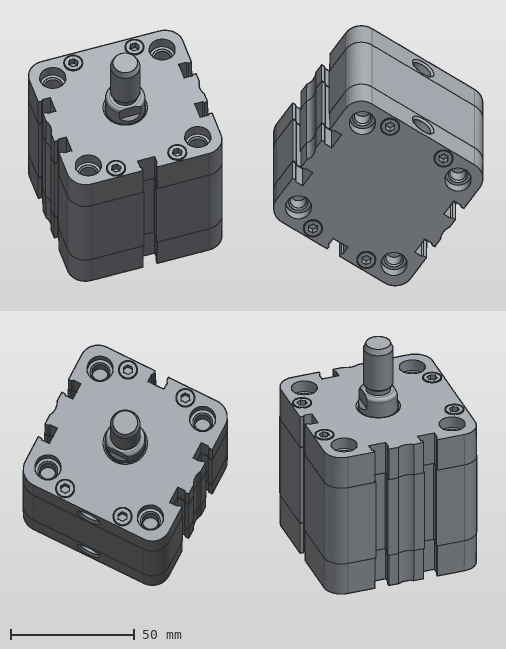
import cadquery as cq
import math


TOTAL_HEIGHT = 95.0
BODY_SIDE = 65.5
BODY_HEIGHT = 65.0
CAP_HEIGHT = 14.4
CORNER_RADIUS = 7.7
CAP_DRAFT = 0.11
BORE_DIAMETER = 50.0

HALF_SIDE = BODY_SIDE / 2
BARREL_HEIGHT = BODY_HEIGHT - 2 * CAP_HEIGHT
FRONT_SEAM = BODY_HEIGHT - CAP_HEIGHT
CUT_MARGIN = 0.95

SLOT_OFFSET = 10.5
SLOT_DEPTH = 5.4
SLOT_LIP = 1.5
BARREL_SLOT_MOUTH = 5.2
BARREL_SLOT_WIDTH = 6.65
CAP_SLOT_MOUTH = 6.0
CAP_SLOT_WIDTH = 7.2
GROOVE_WIDTH = 6.8
GROOVE_DEPTH = 1.0

MOUNT_OFFSET = 23.3
MOUNT_COUNTERBORE = 10.5
MOUNT_COUNTERBORE_DEPTH = 5.0
MOUNT_HOLE = 6.65
MOUNT_CHAMFER_DIAMETER = 8.0
MOUNT_HOLE_DEPTH = 12.0
SCREW_X = 28.0
SCREW_Y = 13.0
SCREW_RECESS = 7.7
SCREW_TOP_DIAMETER = 7.0
SCREW_HEX_FLATS = 3.5
SCREW_HEX_DEPTH = 3.0

PORT_HEIGHT = 8.0
PORT_DIAMETER = 8.55
PORT_MOUTH = 10.5
PORT_DEPTH = 10.0
AIR_HOLE_DIAMETER = 3.5
AIR_HOLE_DROP = 2.0
AIR_HOLE_DEPTH = 3.8

ROD_DIAMETER = 16.0
ROD_SHOULDER = 8.0
ROD_SHOULDER_FILLET = 1.6
NECK_DIAMETER = 10.0
NECK_LENGTH = 2.0
THREAD_DIAMETER = 12.0
TIP_DIAMETER = 10.0
TIP_LENGTH = 2.5
FLATS_WIDTH = 13.0
FLATS_BOTTOM = 2.6
ROD_MOUTH_OUTER = 18.0
ROD_MOUTH_INNER = 16.5


def rounded_square():
    """Body outline, centred on the Z axis."""
    return cq.Sketch().rect(BODY_SIDE, BODY_SIDE).vertices().fillet(CORNER_RADIUS)


def t_slot(mouth, width, height):
    """Slot cutter opening on the -Y side at X = 0."""
    step = (width - mouth) / 2
    face = -HALF_SIDE
    return (
        cq.Workplane("XY")
        .moveTo(-mouth / 2, face - CUT_MARGIN)
        .lineTo(-mouth / 2, face + SLOT_LIP)
        .lineTo(-width / 2, face + SLOT_LIP + step)
        .lineTo(-width / 2, face + SLOT_DEPTH)
        .lineTo(width / 2, face + SLOT_DEPTH)
        .lineTo(width / 2, face + SLOT_LIP + step)
        .lineTo(mouth / 2, face + SLOT_LIP)
        .lineTo(mouth / 2, face - CUT_MARGIN)
        .close()
        .extrude(height)
    )


def side_groove(height):
    """Shallow round groove cutter in the middle of the -Y side."""
    radius = (GROOVE_WIDTH**2 / 4 + GROOVE_DEPTH**2) / (2 * GROOVE_DEPTH)
    centre_y = -HALF_SIDE + GROOVE_DEPTH - radius
    return cq.Workplane("XY").center(0, centre_y).circle(radius).extrude(height)


def cut_profile(body, mouth, width, height):
    """Cut the slots and grooves that run along the whole body."""
    slot = t_slot(mouth, width, height)
    groove = side_groove(height)
    for turn in (0, 180):
        body = body.cut(groove.rotate((0, 0, 0), (0, 0, 1), turn))
        for x in (-SLOT_OFFSET, SLOT_OFFSET):
            body = body.cut(slot.translate((x, 0, 0)).rotate((0, 0, 0), (0, 0, 1), turn))
    return body.cut(slot.rotate((0, 0, 0), (0, 0, 1), 90))


def cone(bottom_diameter, top_diameter, height):
    """Upright cone frustum standing on the origin."""
    return cq.Workplane(cq.Solid.makeCone(bottom_diameter / 2, top_diameter / 2, height))


def mounting_hole():
    """Counterbored hole cutter, opening upward at the cap's outer face."""
    chamfer = (MOUNT_CHAMFER_DIAMETER - MOUNT_HOLE) / 2
    counterbore = cq.Workplane("XY").circle(MOUNT_COUNTERBORE / 2).extrude(-MOUNT_COUNTERBORE_DEPTH)
    hole = cq.Workplane("XY").circle(MOUNT_HOLE / 2).extrude(-MOUNT_HOLE_DEPTH)
    rim = cone(MOUNT_HOLE, MOUNT_CHAMFER_DIAMETER, chamfer)
    rim = rim.translate((0, 0, -MOUNT_COUNTERBORE_DEPTH - chamfer))
    return counterbore.union(hole).union(rim)


def screw_recess():
    """Cutter for the gap around a chamfered flush screw head and its hexagon socket."""
    depth = (SCREW_RECESS - SCREW_TOP_DIAMETER) / 2
    gap = cq.Workplane("XY").circle(SCREW_RECESS / 2).extrude(-depth)
    gap = gap.cut(cone(SCREW_RECESS, SCREW_TOP_DIAMETER, depth).translate((0, 0, -depth)))
    corners = SCREW_HEX_FLATS / math.cos(math.pi / 6)
    socket = cq.Workplane("XY").transformed(rotate=(0, 0, 90)).polygon(6, corners)
    return gap.union(socket.extrude(-SCREW_HEX_DEPTH))


def port():
    """Countersunk port cutter going from the -X side toward +X, at Z = 0."""
    chamfer = (PORT_MOUTH - PORT_DIAMETER) / 2
    mouth = cone(PORT_MOUTH, PORT_DIAMETER, chamfer)
    hole = cq.Workplane("XY").circle(PORT_DIAMETER / 2).extrude(PORT_DEPTH)
    cutter = mouth.union(hole).rotate((0, 0, 0), (0, 1, 0), 90)
    return cutter.translate((-HALF_SIDE, 0, 0))


def make_cap():
    """Drafted cap with its inner face at Z = 0 and its outer face up."""
    draft_angle = math.degrees(math.atan(CAP_DRAFT / CAP_HEIGHT))
    cap = cq.Workplane("XY").placeSketch(rounded_square()).extrude(CAP_HEIGHT, taper=draft_angle)
    cap = cut_profile(cap, CAP_SLOT_MOUTH, CAP_SLOT_WIDTH, CAP_HEIGHT)
    for side_x in (-1, 1):
        for side_y in (-1, 1):
            mount_place = (side_x * MOUNT_OFFSET, side_y * MOUNT_OFFSET, CAP_HEIGHT)
            screw_place = (side_x * SCREW_X, side_y * SCREW_Y, CAP_HEIGHT)
            cap = cap.cut(mounting_hole().translate(mount_place))
            cap = cap.cut(screw_recess().translate(screw_place))
    return cap.cut(port().translate((0, 0, CAP_HEIGHT - PORT_HEIGHT)))


def make_rear_cap():
    return make_cap().mirror("XY").translate((0, 0, CAP_HEIGHT))


def make_front_cap():
    """Cap with the rod guide and the small air hole in the port floor."""
    guide = cq.Workplane("XY").circle(ROD_DIAMETER / 2).extrude(CAP_HEIGHT)
    rim_depth = (ROD_MOUTH_OUTER - ROD_MOUTH_INNER) / 2
    rim = cone(ROD_MOUTH_INNER, ROD_MOUTH_OUTER, rim_depth).translate((0, 0, CAP_HEIGHT - rim_depth))
    air_hole = (
        cq.Workplane("YZ", origin=(PORT_DEPTH - HALF_SIDE, 0, CAP_HEIGHT - PORT_HEIGHT - AIR_HOLE_DROP))
        .circle(AIR_HOLE_DIAMETER / 2)
        .extrude(AIR_HOLE_DEPTH)
    )
    cap = make_cap().cut(guide).cut(rim).cut(air_hole)
    return cap.translate((0, 0, FRONT_SEAM))


def make_barrel():
    barrel = cq.Workplane("XY").placeSketch(rounded_square()).extrude(BARREL_HEIGHT)
    barrel = cut_profile(barrel, BARREL_SLOT_MOUTH, BARREL_SLOT_WIDTH, BARREL_HEIGHT)
    bore = cq.Workplane("XY").circle(BORE_DIAMETER / 2).extrude(BARREL_HEIGHT)
    return barrel.cut(bore).translate((0, 0, CAP_HEIGHT))


def wrench_flats():
    """Cutters for the two flats, each with a 45 degree ledge at the bottom."""
    half_width = FLATS_WIDTH / 2
    reach = ROD_DIAMETER / 2 - half_width + CUT_MARGIN
    bottom = BODY_HEIGHT + FLATS_BOTTOM
    top = BODY_HEIGHT + ROD_SHOULDER
    flat = (
        cq.Workplane("XZ")
        .moveTo(half_width, bottom)
        .lineTo(half_width + reach, bottom - reach)
        .lineTo(half_width + reach, top)
        .lineTo(half_width, top)
        .close()
        .extrude(ROD_DIAMETER / 2, both=True)
    )
    return flat.union(flat.mirror("YZ"))


def make_rod():
    """Rod standing on the rear cap, with shoulder, undercut neck and threaded end."""
    shoulder = BODY_HEIGHT + ROD_SHOULDER
    neck_top = shoulder + NECK_LENGTH
    thread_bottom = neck_top + (THREAD_DIAMETER - NECK_DIAMETER) / 2
    fillet_inset = ROD_SHOULDER_FILLET * (1 - math.cos(math.pi / 4))
    rod = (
        cq.Workplane("XZ")
        .moveTo(0, CAP_HEIGHT)
        .lineTo(ROD_DIAMETER / 2, CAP_HEIGHT)
        .lineTo(ROD_DIAMETER / 2, shoulder - ROD_SHOULDER_FILLET)
        .threePointArc(
            (ROD_DIAMETER / 2 - fillet_inset, shoulder - fillet_inset),
            (ROD_DIAMETER / 2 - ROD_SHOULDER_FILLET, shoulder),
        )
        .lineTo(NECK_DIAMETER / 2, shoulder)
        .lineTo(NECK_DIAMETER / 2, neck_top)
        .lineTo(THREAD_DIAMETER / 2, thread_bottom)
        .lineTo(THREAD_DIAMETER / 2, TOTAL_HEIGHT - TIP_LENGTH)
        .lineTo(TIP_DIAMETER / 2, TOTAL_HEIGHT)
        .lineTo(0, TOTAL_HEIGHT)
        .close()
        .revolve(360, (0, 0, 0), (0, 1, 0))
    )
    return rod.cut(wrench_flats())


rear_cap = make_rear_cap()
barrel = make_barrel()
front_cap = make_front_cap()
piston_rod = make_rod()

result = cq.Compound.makeCompound(
    [rear_cap.val(), barrel.val(), front_cap.val(), piston_rod.val()]
)